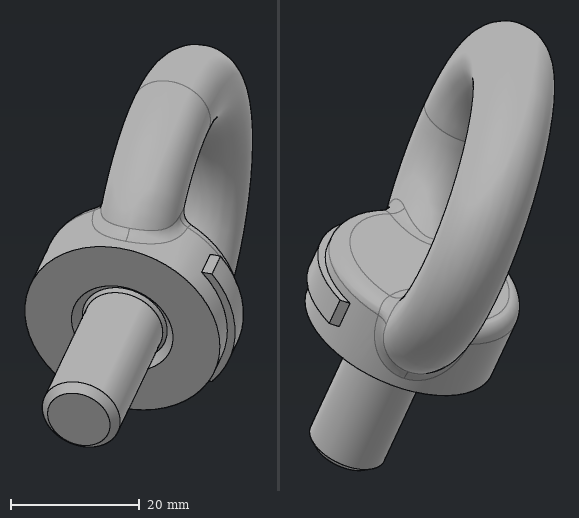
import cadquery as cq


ring_outer_radius = 28.5
ring_section_radius = 6.3
ring_centre_radius = ring_outer_radius - ring_section_radius

collar_radius = 15.8
collar_height = 12.8
blend_radius = 2.5
collar_front = -26.9
collar_back = collar_front + collar_height

edge_margin = 0.1

overall_length = 79.1
stud_tip = ring_outer_radius - overall_length
stud_radius = 6.3
stud_chamfer = 1.3
seat_radius = 6.9
countersink_radius = 8.2
countersink_depth = countersink_radius - seat_radius
flare_length = seat_radius - stud_radius
flare_end = collar_front + countersink_depth
seat_depth = 9.5
seat_bottom = collar_front + seat_depth

band_height = 1.3
band_width = 4.7
band_half_span = 10.7
band_middle = collar_front + collar_height / 2


def cylinder(radius, start, end):
    """Solid cylinder on the Y axis between two Y positions."""
    return cq.Workplane("XZ", origin=(0, end, 0)).circle(radius).extrude(end - start)


def revolved(profile):
    """Solid of revolution about Y from (radius, y) points."""
    return cq.Workplane("XY").polyline(profile).close().revolve(360, (0, 0, 0), (0, 1, 0))


def make_ring():
    """Full torus without the part that would stand out of the front of the collar."""
    torus = cq.Solid.makeTorus(ring_centre_radius, ring_section_radius, dir=cq.Vector(1, 0, 0))
    front_space = cylinder(collar_radius, stud_tip, collar_front)
    return cq.Workplane(torus).cut(front_space)


def blend_edges(eye):
    """Back rim of the collar and the seams where the ring legs run into the collar."""
    reach = collar_radius + edge_margin
    collar_edges = cq.selectors.BoxSelector(
        (-reach, collar_front + edge_margin, -reach),
        (reach, collar_back + edge_margin, reach),
        boundingbox=True,
    )
    return eye.edges(collar_edges).edges("not |Y")


def make_band():
    """Raised band on the +X side, with flat ends square to Z and a seat in the collar wall."""
    band_bottom = band_middle - band_width / 2
    band_top = band_middle + band_width / 2
    sleeve = cylinder(collar_radius + band_height, band_bottom, band_top)
    core = cylinder(collar_radius - band_height, band_bottom, band_top)
    side = cq.Workplane("XY").box(
        collar_radius + band_height, overall_length, 2 * band_half_span, centered=(False, True, True)
    )
    return sleeve.cut(core).intersect(side)


def make_seat():
    """Countersunk blind hole that receives the stud."""
    return revolved([
        (0, collar_front),
        (countersink_radius, collar_front),
        (seat_radius, flare_end),
        (seat_radius, seat_bottom),
        (0, seat_bottom),
    ])


def make_eye():
    """Ring, collar and band as one forged body."""
    collar = cylinder(collar_radius, collar_front, collar_back)
    eye = collar.union(make_ring())
    eye = blend_edges(eye).fillet(blend_radius)
    return eye.union(make_band()).cut(make_seat())


def make_stud():
    """Plain shank with a chamfered tip and a flare up to the part seated in the collar."""
    return revolved([
        (0, stud_tip),
        (stud_radius - stud_chamfer, stud_tip),
        (stud_radius, stud_tip + stud_chamfer),
        (stud_radius, flare_end - flare_length),
        (seat_radius, flare_end),
        (seat_radius, seat_bottom),
        (0, seat_bottom),
    ])


eye = make_eye()
stud = make_stud()
result = cq.Compound.makeCompound([eye.val(), stud.val()])